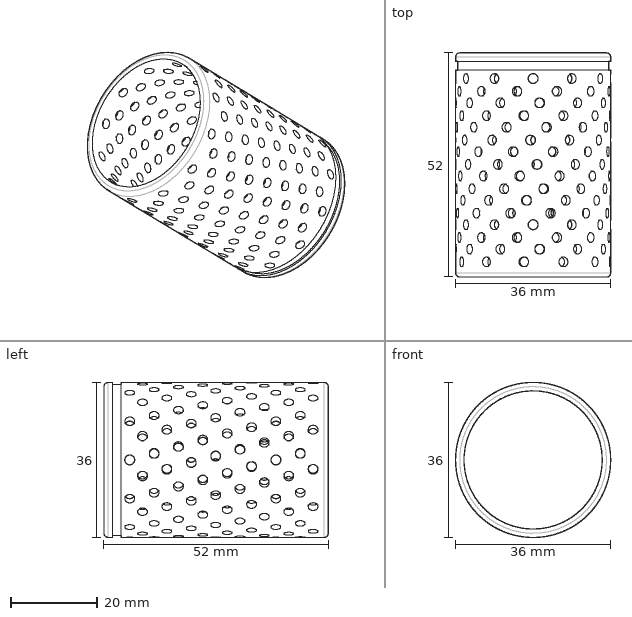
import cadquery as cq
import math

length = 52.0
outer_diameter = 36.0
bore_diameter = 32.0
end_fillet = 1.0

outer_radius = outer_diameter / 2
bore_radius = bore_diameter / 2

groove_diameter = 35.05
groove_offset = 2.05
groove_width = 2.0

hole_diameter = 2.25
holes_per_ring = 12
rings_per_set = 8
ring_set_span = 39.5
ring_twist = 5.0
first_ring_offset = 6.0
second_set_shift = 2.95
second_set_angle = 18.0
cutter_overrun = 0.5

ring_pitch = ring_set_span / (rings_per_set - 1)
hole_angle_step = 360 / holes_per_ring
end_y = length / 2


def tube_body():
    blank = cq.Workplane("XZ").circle(outer_radius).extrude(end_y, both=True)
    rounded = blank.edges().fillet(end_fillet)
    bore = cq.Workplane("XZ").circle(bore_radius).extrude(end_y, both=True)
    return rounded.cut(bore)


def groove_ring():
    near_wall = cq.Workplane("XZ", origin=(0, end_y - groove_offset, 0))
    return near_wall.circle(outer_radius).circle(groove_diameter / 2).extrude(groove_width)


def radial_hole(y, angle):
    """Cutter through the wall only, so cutters stay apart; the angle runs from +Z toward +X."""
    direction = cq.Vector(math.sin(math.radians(angle)), 0, math.cos(math.radians(angle)))
    start = direction * (bore_radius - cutter_overrun) + cq.Vector(0, y, 0)
    depth = outer_radius - bore_radius + 2 * cutter_overrun
    return cq.Solid.makeCylinder(hole_diameter / 2, depth, start, direction)


def hole_set(start_offset, start_angle):
    holes = []
    for ring in range(rings_per_set):
        y = end_y - start_offset - ring * ring_pitch
        ring_angle = start_angle + ring * ring_twist
        for index in range(holes_per_ring):
            holes.append(radial_hole(y, ring_angle + index * hole_angle_step))
    return holes


holes = hole_set(first_ring_offset, 0)
holes += hole_set(first_ring_offset + second_set_shift, second_set_angle)

sleeve = tube_body().cut(groove_ring()).val()
result = cq.Workplane(sleeve.cut(*holes)).solids()